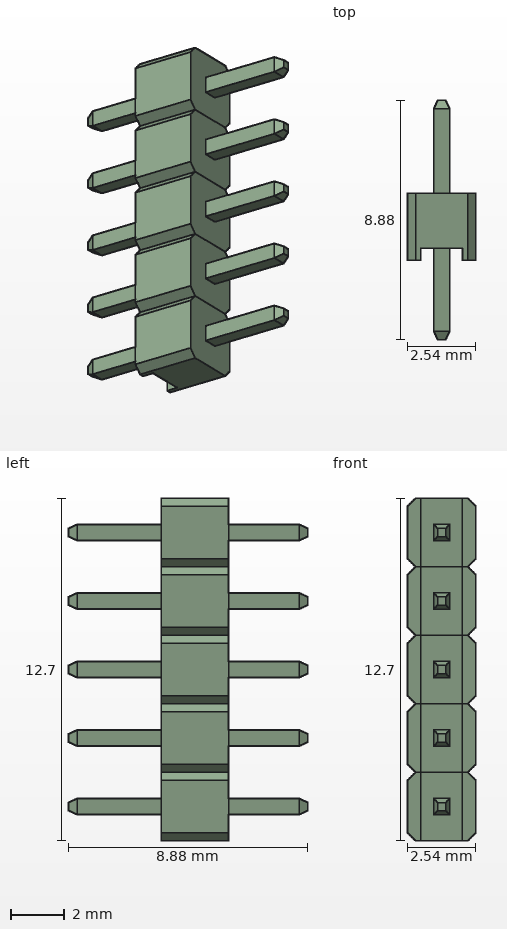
import cadquery as cq

UNIT_COUNT = 5
PITCH = 2.54

BLOCK_WIDTH = PITCH
BLOCK_DEPTH = 2.5
EDGE_CHAMFER = 0.3

CHANNEL_WIDTH = 1.54
CHANNEL_DEPTH = 0.45

PIN_WIDTH = 0.6
TIP_WIDTH = 0.3
TIP_LENGTH = 0.32
FRONT_PROTRUSION = 2.94
BACK_PROTRUSION = 3.44

FRONT_FACE = -BLOCK_DEPTH / 2
BACK_FACE = BLOCK_DEPTH / 2
FRONT_TIP = FRONT_FACE - FRONT_PROTRUSION
BACK_TIP = BACK_FACE + BACK_PROTRUSION


def make_block():
    """Block with its four Y-direction edges chamfered and a front channel."""
    block = cq.Workplane("XY").box(BLOCK_WIDTH, BLOCK_DEPTH, PITCH)
    block = block.edges("|Y").chamfer(EDGE_CHAMFER)
    channel = (
        cq.Workplane("XY")
        .box(CHANNEL_WIDTH, CHANNEL_DEPTH, PITCH)
        .translate((0, FRONT_FACE + CHANNEL_DEPTH / 2, 0))
    )
    return block.cut(channel)


def make_tip(end_y, direction):
    """Tapered pin tip ending at end_y; direction is +1 or -1 along Y."""
    base = cq.Plane(
        origin=(0, end_y - direction * TIP_LENGTH, 0),
        xDir=(1, 0, 0),
        normal=(0, direction, 0),
    )
    return (
        cq.Workplane(base)
        .rect(PIN_WIDTH, PIN_WIDTH)
        .workplane(offset=TIP_LENGTH)
        .rect(TIP_WIDTH, TIP_WIDTH)
        .loft(ruled=True)
    )


def make_pin():
    """Square shank with a tapered tip at each end."""
    shank_length = BACK_TIP - FRONT_TIP - 2 * TIP_LENGTH
    shank_middle = (FRONT_TIP + BACK_TIP) / 2
    shank = (
        cq.Workplane("XY")
        .box(PIN_WIDTH, shank_length, PIN_WIDTH)
        .translate((0, shank_middle, 0))
    )
    return shank.union(make_tip(FRONT_TIP, -1)).union(make_tip(BACK_TIP, 1))


def make_header_unit(center_z):
    """One header unit: block and pin in one solid, centred at height center_z."""
    return make_block().union(make_pin()).translate((0, 0, center_z))


header_units = []
for index in range(UNIT_COUNT):
    unit_z = (index - (UNIT_COUNT - 1) / 2) * PITCH
    header_units.append(make_header_unit(unit_z).val())

result = cq.Compound.makeCompound(header_units)